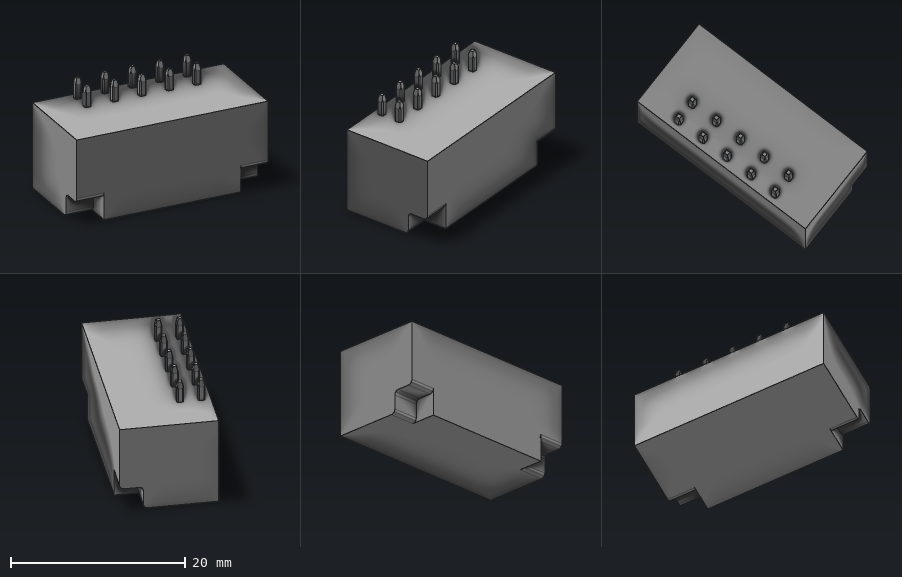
import cadquery as cq

housing_width = 11.6
housing_length = 24.5
overall_height = 13.4
pin_height = 2.62
housing_height = overall_height - pin_height

step_width = 2.77
step_height = 2.85
step_radius = 0.55

pins_per_row = 5
row_count = 2
pin_pitch = 3.5
row_pitch = 2.5
first_row_inset = 1.1
pin_width = 0.8
pin_corner_chamfer = 0.15
tip_width = 0.45
tip_height = 0.83

step_depth = (housing_length - pins_per_row * pin_pitch) / 2


def make_housing():
    """Full block between two stepped end flanges."""
    right = housing_width / 2
    step_x = right - step_width
    stepped = (
        cq.Workplane("XZ")
        .moveTo(-right, 0)
        .lineTo(step_x - step_radius, 0)
        .radiusArc((step_x, step_radius), -step_radius)
        .lineTo(step_x, step_height - step_radius)
        .radiusArc((step_x + step_radius, step_height), step_radius)
        .lineTo(right - step_radius, step_height)
        .radiusArc((right, step_height + step_radius), -step_radius)
        .lineTo(right, housing_height)
        .lineTo(-right, housing_height)
        .close()
        .extrude(housing_length / 2, both=True)
    )
    middle_length = housing_length - 2 * step_depth
    middle = cq.Workplane("XY").box(
        housing_width, middle_length, housing_height, centered=(True, True, False)
    )
    return stepped.union(middle)


def make_pin():
    """Square pin with chamfered vertical edges and a four-sided tapered tip."""
    shank_height = pin_height - tip_height
    tapered = (
        cq.Workplane("XY")
        .rect(pin_width, pin_width)
        .extrude(shank_height)
        .faces(">Z")
        .workplane()
        .rect(pin_width, pin_width)
        .workplane(offset=tip_height)
        .rect(tip_width, tip_width)
        .loft(combine=True)
    )
    chamfered = (
        cq.Workplane("XY")
        .rect(pin_width, pin_width)
        .extrude(pin_height)
        .edges("|Z")
        .chamfer(pin_corner_chamfer)
    )
    return tapered.intersect(chamfered)


result = make_housing()
pin = make_pin()
for row in range(row_count):
    pin_x = -housing_width / 2 + first_row_inset + row * row_pitch
    for position in range(pins_per_row):
        pin_y = (position - (pins_per_row - 1) / 2) * pin_pitch
        result = result.union(pin.translate((pin_x, pin_y, housing_height)))